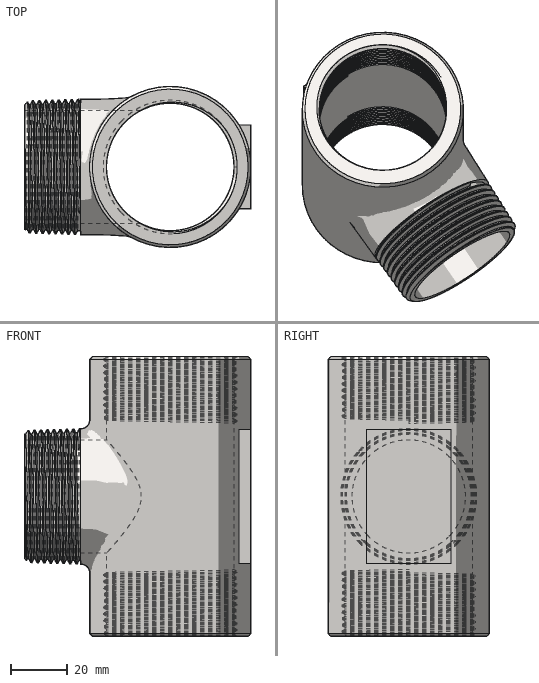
import cadquery as cq
import math


RUN_LENGTH = 100.0
RUN_DIAMETER = 57.6
RUN_BORE = 45.48
RUN_CHAMFER = 1.0
RUN_RADIUS = RUN_DIAMETER / 2
RUN_BORE_RADIUS = RUN_BORE / 2

PAD_WIDTH = 30.0
PAD_HEIGHT = 48.0

PITCH = 2.309
FLANK_ANGLE = 55.0
CREST_FLAT = 0.4
HALF_FLANK = math.radians(FLANK_ANGLE / 2)

INNER_THREAD_MAJOR = 47.803
INNER_THREAD_TURNS = 10
INNER_GROOVE_DEPTH = (INNER_THREAD_MAJOR - RUN_BORE) / 2

BRANCH_REACH = 52.0
BRANCH_BORE = 40.5
BRANCH_FILLET = 3.0
TAPER = 1 / 16
CONE_SLOPE = TAPER / 2
OUTER_THREAD_LENGTH = 20.0
ROOT_DIAMETER_AT_END = 44.5
RIDGE_HEIGHT = 1.35
FIRST_CREST = 1.25

THREAD_OVERLAP = 0.15
BODY_OVERLAP = 1.0


def root_radius(distance):
    """Radius of the thread root at a distance from the branch end."""
    return ROOT_DIAMETER_AT_END / 2 + CONE_SLOPE * distance


def crest_radius(distance):
    """Radius of the thread crest, and of the plain cone that continues it."""
    return root_radius(distance) + RIDGE_HEIGHT


def helical_thread(base_radius, height, start, turns, slope=0.0):
    """Right-handed, flat-topped V ridge around +Z that points outward and starts on +X."""
    rise = turns * PITCH
    taper_angle = math.degrees(math.atan(slope)) if slope else 360
    path = cq.Wire.makeHelix(
        PITCH, rise, base_radius, cq.Vector(0, 0, start), cq.Vector(0, 0, 1), taper_angle
    )
    half_crest = CREST_FLAT / 2
    half_base = half_crest + (height + THREAD_OVERLAP) * math.tan(HALF_FLANK)
    inner = base_radius - THREAD_OVERLAP
    profile = (
        cq.Workplane("XZ")
        .moveTo(inner, start - half_base)
        .lineTo(base_radius + height, start - half_crest)
        .lineTo(base_radius + height, start + half_crest)
        .lineTo(inner, start + half_base)
        .close()
    )
    return profile.sweep(cq.Workplane(obj=path), isFrenet=True)


def along_branch(shape):
    """Move a shape built upward from the XY plane onto the branch, end face at -X."""
    return shape.rotate((0, 0, 0), (0, 1, 0), 90).translate((-BRANCH_REACH, 0, 0))


def make_run():
    run = cq.Workplane("XY").circle(RUN_RADIUS).extrude(RUN_LENGTH / 2, both=True)
    return run.faces("|Z").chamfer(RUN_CHAMFER)


def make_plain_cone():
    """Smooth cone from the end of the outside thread to the run's axis."""
    profile = (
        cq.Workplane("XZ")
        .moveTo(0, OUTER_THREAD_LENGTH)
        .lineTo(crest_radius(OUTER_THREAD_LENGTH), OUTER_THREAD_LENGTH)
        .lineTo(crest_radius(BRANCH_REACH), BRANCH_REACH)
        .lineTo(0, BRANCH_REACH)
        .close()
    )
    return along_branch(profile.revolve(360, (0, 0, 0), (0, 1, 0)))


def make_junction():
    """Run and plain cone with the fillet along the curve where they meet."""
    junction = make_run().union(make_plain_cone())
    junction_zone = cq.selectors.BoxSelector(
        (-RUN_RADIUS, -RUN_RADIUS, -RUN_LENGTH / 3),
        (-BRANCH_FILLET, RUN_RADIUS, RUN_LENGTH / 3),
    )
    return junction.edges(junction_zone).fillet(BRANCH_FILLET)


def make_pad():
    return cq.Workplane("XY").box(
        RUN_RADIUS, PAD_WIDTH, PAD_HEIGHT, centered=(False, True, True)
    )


def make_thread_core(length):
    profile = (
        cq.Workplane("XZ")
        .lineTo(root_radius(0), 0)
        .lineTo(root_radius(length), length)
        .lineTo(0, length)
        .close()
    )
    return profile.revolve(360, (0, 0, 0), (0, 1, 0))


def make_thread_envelope(length):
    """Space the ridge may fill: a 45 degree bevel at the branch end, then a cylinder."""
    bevel = 2 * RIDGE_HEIGHT
    outer_radius = root_radius(0) + bevel
    profile = (
        cq.Workplane("XZ")
        .lineTo(root_radius(0), 0)
        .lineTo(outer_radius, bevel)
        .lineTo(outer_radius, length)
        .lineTo(0, length)
        .close()
    )
    return profile.revolve(360, (0, 0, 0), (0, 1, 0))


def make_outer_thread():
    """Root cone with its helical ridge, bevelled at the branch end."""
    length = OUTER_THREAD_LENGTH + BODY_OVERLAP
    start = FIRST_CREST - PITCH
    turns = (OUTER_THREAD_LENGTH - start) / PITCH
    ridge = helical_thread(root_radius(start), RIDGE_HEIGHT, start, turns, CONE_SLOPE)
    ridge = ridge.intersect(make_thread_envelope(length))
    ridge = ridge.rotate((0, 0, 0), (0, 0, 1), 180)
    return along_branch(make_thread_core(length).union(ridge))


def make_threaded_bore():
    """Cutter for the upper half of the run: the bore with its thread, groove centred on +X at the end."""
    cutter_length = RUN_LENGTH / 2 + 2 * PITCH
    bore = cq.Workplane("XY").circle(RUN_BORE_RADIUS).extrude(cutter_length)
    start = RUN_LENGTH / 2 - INNER_THREAD_TURNS * PITCH
    ridge = helical_thread(RUN_BORE_RADIUS, INNER_GROOVE_DEPTH, start, INNER_THREAD_TURNS + 1)
    return bore.union(ridge)


def make_branch_bore():
    return along_branch(cq.Workplane("XY").circle(BRANCH_BORE / 2).extrude(BRANCH_REACH))


top_bore = make_threaded_bore()
bottom_bore = top_bore.rotate((0, 0, 0), (1, 0, 0), 180)

tee = make_junction().union(make_pad()).union(make_outer_thread())
result = tee.cut(top_bore).cut(bottom_bore).cut(make_branch_bore())